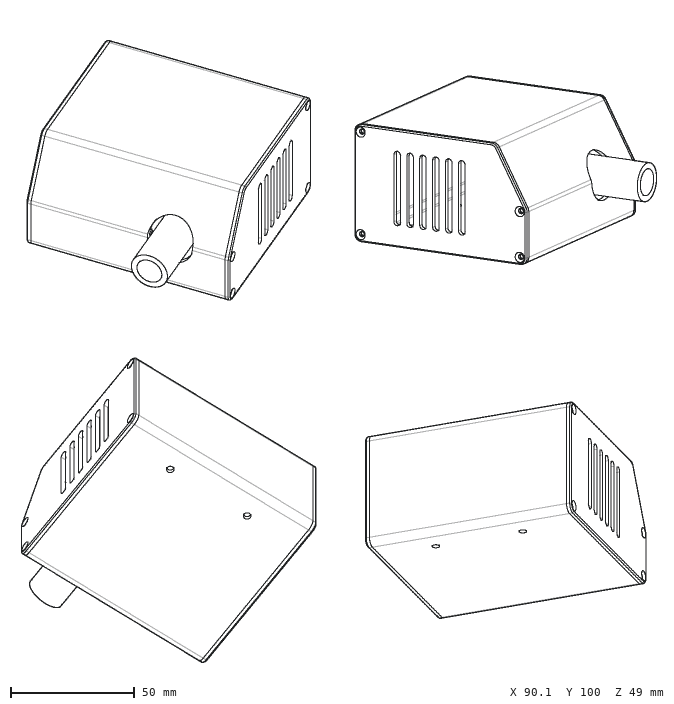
import cadquery as cq
import math

total_width = 90.1
plate_thickness = 2.0
housing_width = total_width - 2 * plate_thickness
height = 49.0
top_z = height / 2
bottom_z = -height / 2
back_y = 50.0
front_y = -30.0
slope_angle = 60.7
slope_start_z = -1.5
corner_radius = 3.1
plate_edge_chamfer = 0.6

wall = 2.0
boss_radius = 1.75
boss_blend_radius = 0.5
boss_hole_diameter = 1.6

screw_inset = corner_radius
slope_screw_z = -2.3

plate_hole_diameter = 2.2
countersink_diameter = 4.2
countersink_angle = 90.0

slot_count = 6
slot_pitch = 6.0
slot_width = 3.0
slot_length = 31.0
slots_from_back = 35.0
slots_center_y = back_y - slots_from_back

tube_x = 18.55
tube_z = slope_start_z
tube_outer_diameter = 16.0
tube_bore_diameter = 11.0
tube_front_y = -50.0
tube_length = 30.0
tube_opening_diameter = 20.0

floor_hole_diameter = 3.0
floor_hole_x = 19.0
floor_hole_y = 38.0

slope_top_y = front_y + (top_z - slope_start_z) / math.tan(math.radians(slope_angle))
outline = [
    (back_y, bottom_z),
    (back_y, top_z),
    (slope_top_y, top_z),
    (front_y, slope_start_z),
    (front_y, bottom_z),
]

screw_positions = [
    (back_y - screw_inset, bottom_z + screw_inset),
    (back_y - screw_inset, top_z - screw_inset),
    (front_y + screw_inset, slope_screw_z),
    (front_y + screw_inset, bottom_z + screw_inset),
]


def side_plane(x):
    """Workplane at the given X with local axes Y and Z and its normal along +X."""
    return cq.Workplane("YZ", origin=(x, 0, 0))


def enclosure_prism(x_start, width):
    """Rounded enclosure outline, extruded along X."""
    return side_plane(x_start).polyline(outline).close().extrude(width).edges("|X").fillet(corner_radius)


def along_y(x, z, diameter, y_start, length):
    """Cylinder that runs from y_start towards +Y."""
    plane = cq.Plane(origin=(x, y_start, z), xDir=(1, 0, 0), normal=(0, 1, 0))
    return cq.Workplane(plane).circle(diameter / 2).extrude(length)


def make_cavity():
    """Space inside the housing: the inset outline less the screw bosses, with small fillets between."""
    start_x = -housing_width / 2
    space = side_plane(start_x).polyline(outline).close().offset2D(-wall).extrude(housing_width)
    bosses = side_plane(start_x).pushPoints(screw_positions).circle(boss_radius).extrude(housing_width)
    cavity = space.cut(bosses)
    boss_reach = 1.5 * boss_radius
    for y, z in screw_positions:
        near_boss = cq.selectors.BoxSelector(
            (-housing_width, y - boss_reach, z - boss_reach),
            (housing_width, y + boss_reach, z + boss_reach),
        )
        cavity = cavity.edges("|X").edges(near_boss).fillet(boss_blend_radius)
    return cavity


def make_housing():
    """Tubular housing, open on both sides, with screw bosses, tube opening and floor holes."""
    start_x = -housing_width / 2
    body = enclosure_prism(start_x, housing_width).cut(make_cavity())
    screw_holes = (
        side_plane(start_x).pushPoints(screw_positions).circle(boss_hole_diameter / 2).extrude(housing_width)
    )
    opening = along_y(tube_x, tube_z, tube_opening_diameter, tube_front_y, tube_length)
    floor_holes = (
        cq.Workplane("XY", origin=(0, 0, bottom_z))
        .pushPoints([(-floor_hole_x, floor_hole_y), (floor_hole_x, floor_hole_y)])
        .circle(floor_hole_diameter / 2)
        .extrude(wall)
    )
    return body.cut(screw_holes).cut(opening).cut(floor_holes)


def make_countersink(y, z):
    """Cone that widens a screw hole towards the outer face of the -X plate."""
    half_angle = math.radians(countersink_angle / 2)
    depth = (countersink_diameter - plate_hole_diameter) / 2 / math.tan(half_angle)
    outer_face_x = -total_width / 2
    return cq.Workplane(
        cq.Solid.makeCone(
            countersink_diameter / 2,
            plate_hole_diameter / 2,
            depth,
            pnt=cq.Vector(outer_face_x, y, z),
            dir=cq.Vector(1, 0, 0),
        )
    )


def make_side_plate(side):
    """Slotted side plate on the -X side (side = -1) or the +X side (side = 1)."""
    plate = enclosure_prism(-total_width / 2, plate_thickness)
    plate = plate.faces("<X").chamfer(plate_edge_chamfer)
    first_slot_y = slots_center_y - (slot_count - 1) / 2 * slot_pitch
    slot_centers = [(first_slot_y + i * slot_pitch, 0) for i in range(slot_count)]
    slots = (
        side_plane(-total_width / 2)
        .pushPoints(slot_centers)
        .slot2D(slot_length, slot_width, 90)
        .extrude(plate_thickness)
    )
    screw_holes = (
        side_plane(-total_width / 2)
        .pushPoints(screw_positions)
        .circle(plate_hole_diameter / 2)
        .extrude(plate_thickness)
    )
    plate = plate.cut(slots).cut(screw_holes)
    for y, z in screw_positions:
        plate = plate.cut(make_countersink(y, z))
    return plate if side < 0 else plate.mirror("YZ")


def make_tube():
    """Plain tube along Y that passes through the housing opening with clearance."""
    outside = along_y(tube_x, tube_z, tube_outer_diameter, tube_front_y, tube_length)
    bore = along_y(tube_x, tube_z, tube_bore_diameter, tube_front_y, tube_length)
    return outside.cut(bore)


housing = make_housing()
side_plates = [make_side_plate(side) for side in (-1, 1)]
tube = make_tube()

result = cq.Compound.makeCompound([housing.val(), *[plate.val() for plate in side_plates], tube.val()])